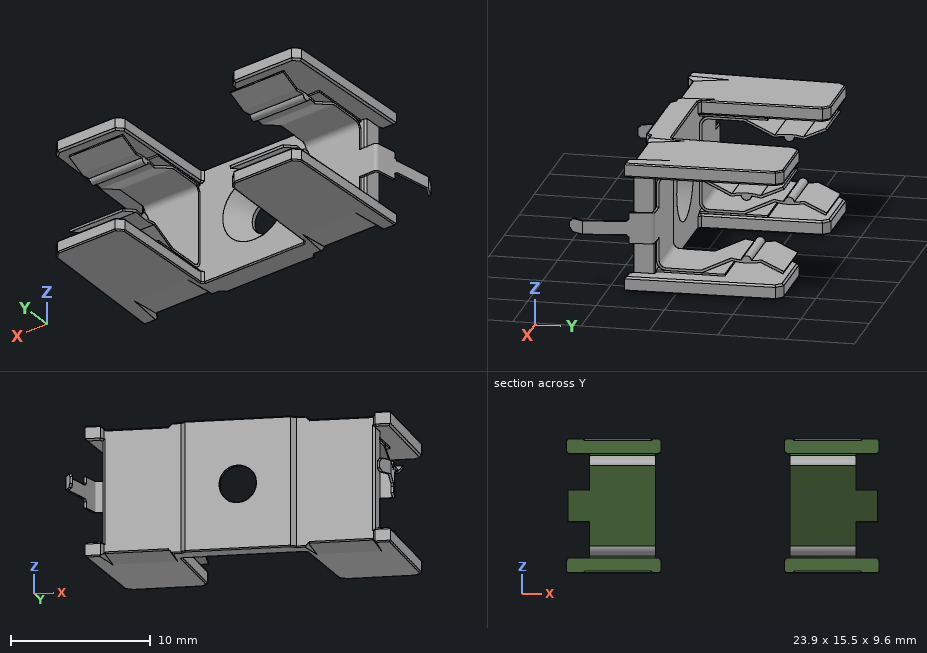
import cadquery as cq
import math

housing_height = 9.6
housing_depth = 11.5
arm_thickness = 1.08
arm_outer_front = 11.25
arm_outer_back = 10.93
arm_inner_front = 4.6
arm_inner_back = 4.8
arm_corner = 0.5
gap_corner = 0.2
outer_bevel = 0.1
inner_bevel = 0.15

wall_half_width = 10.02
wall_back = 1.99
front_step = 0.35
step_half_width = 4.23
foot_inner = 10.1
foot_slope = 0.2
wall_edge_width = 0.2
wall_edge_depth = 0.1
hole_diameter = 2.73
hole_straight = 0.35
hole_flare = 41

ramp_length = 3.01
ramp_depth = 0.3
ramp_inner = 5.12
ramp_outer = 9.88
ramp_draft = 45

pad_thickness = 0.15
pad_back = 6.98

sheet = 0.2
clip_inner = 4.8
clip_outer = 9.55
clip_bend_radius = 0.72
leaf_flat_end = 5.29
crest_front = 7.5
crest_back = 9.62
crest_height = 2.32
crest_sag = 0.12
leaf_tip_y = 11.25
leaf_tip_height = 3.05
rib_radius = 0.38
rib_height = 2.46
leaf_bend_radius = 0.48
crest_radius = 0.2

tab_half_height = 1.15
tab_front = 0.35
tab_gusset = 0.2
tab_bend_outside = 0.29
tab_bend_inside = 0.1
pin_half_height = 0.5
pin_root_x = 11.07
pin_knee_x = 11.95
pin_knee_y = -2.9
pin_tip_x = 11.39
pin_tip_y = -4.0
pin_corner = 0.29

top = housing_height / 2
arm_inside = top - arm_thickness
clip_seat = arm_inside - pad_thickness
clip_width = clip_outer - clip_inner
clip_middle = (clip_inner + clip_outer) / 2
ramp_width = ramp_outer - ramp_inner
ramp_middle = (ramp_inner + ramp_outer) / 2
plate_back = wall_back + sheet


def nearest(x, y, z):
    """Select the edge whose middle is closest to a point."""
    return cq.selectors.NearestToPointSelector((x, y, z))


def mirrored_x(points):
    """Right half of an outline from its left half."""
    return [(-x, y) for x, y in reversed(points)]


def offset_path(points, distance):
    """Open path moved sideways to its left by a distance, with mitred corners."""
    directions = [math.atan2(b[1] - a[1], b[0] - a[0]) for a, b in zip(points, points[1:])]
    before = [directions[0]] + directions
    after = directions + [directions[-1]]
    moved = []
    for (u, v), first, second in zip(points, before, after):
        normal = (first + second) / 2 + math.pi / 2
        reach = distance / math.cos((second - first) / 2)
        moved.append((u + reach * math.cos(normal), v + reach * math.sin(normal)))
    return moved


def arm_plate():
    """Upper plate: two tapered arms joined along the front."""
    outer_taper = (arm_outer_front - arm_outer_back) / housing_depth
    inner_taper = (arm_inner_back - arm_inner_front) / (housing_depth - wall_back)
    left_half = [
        (-arm_inner_front + gap_corner, wall_back),
        (-arm_inner_front - gap_corner * inner_taper, wall_back + gap_corner),
        (-arm_inner_back + arm_corner * inner_taper, housing_depth - arm_corner),
        (-arm_inner_back - arm_corner, housing_depth),
        (-arm_outer_back + arm_corner, housing_depth),
        (-arm_outer_back - arm_corner * outer_taper, housing_depth - arm_corner),
        (-arm_outer_front, 0),
        (-foot_inner, 0),
        (-foot_inner + foot_slope, front_step),
        (-step_half_width, front_step),
        (-step_half_width + front_step, 0),
    ]
    plate = cq.Workplane("XY").workplane(offset=arm_inside)
    plate = plate.polyline(left_half + mirrored_x(left_half)).close().extrude(arm_thickness)
    plate = plate.faces(">Z").chamfer(outer_bevel)
    return plate.faces("<Z").chamfer(inner_bevel)


def front_wall():
    """Wall between the plates, with its raised centre and bevelled outer edges."""
    left_half = [
        (-wall_half_width + wall_edge_width, wall_back),
        (-wall_half_width, wall_back - wall_edge_depth),
        (-wall_half_width, front_step + wall_edge_depth),
        (-wall_half_width + wall_edge_width, front_step),
        (-step_half_width, front_step),
        (-step_half_width + front_step, 0),
    ]
    wall = cq.Workplane("XY").polyline(left_half + mirrored_x(left_half)).close()
    return wall.extrude(arm_inside + inner_bevel, both=True)


def ramp_cut(side):
    """Shallow wedge that sinks into the top towards the front, with drafted sides."""
    slope = math.atan2(ramp_depth, ramp_length)
    floor_length = math.hypot(ramp_length, ramp_depth)
    upright = (0, -math.sin(slope), math.cos(slope))
    floor = cq.Plane((side * ramp_middle, ramp_length, top), (1, 0, 0), upright)
    cut = cq.Workplane(floor).center(0, -floor_length / 2).rect(ramp_width, floor_length)
    return cut.extrude(2 * ramp_depth, taper=-ramp_draft)


def flared_hole():
    """Cut through the wall: straight at the front, then widening to the back."""
    radius = hole_diameter / 2
    flare_depth = wall_back - hole_straight
    back_radius = radius + flare_depth * math.tan(math.radians(hole_flare))
    outline = [(0, 0), (radius, 0), (radius, hole_straight), (back_radius, wall_back), (0, wall_back)]
    return cq.Workplane("XY").polyline(outline).close().revolve(360, (0, 0, 0), (0, 1, 0))


def make_housing():
    """Two arm plates joined by the front wall."""
    upper = arm_plate()
    ramp_front = top - ramp_depth * (ramp_length - front_step) / ramp_length
    for side in (-1, 1):
        upper = upper.cut(ramp_cut(side))
        upper = upper.edges(nearest(side * ramp_middle, front_step, ramp_front)).chamfer(outer_bevel)
    body = front_wall().union(upper).union(upper.mirror("XY"))
    return body.cut(flared_hole())


def fillet_edge(body, place, radius):
    """Round the crosswise edge of the left clip at a (y, z) place."""
    return body.edges(nearest(-clip_middle, *place)).fillet(radius)


def contact_rib(middle):
    """Half-round rib that runs across the leaf between its crests."""
    half_round = (
        cq.Workplane("YZ")
        .moveTo(middle - rib_radius, rib_height)
        .threePointArc((middle, rib_height - rib_radius), (middle + rib_radius, rib_height))
        .close()
    )
    return half_round.extrude(clip_width).translate((-clip_outer, 0, 0))


def upper_leaf():
    """Upper half of the left clip: plate, flat, and a leaf with a hollow crest and its rib."""
    outer = [
        (wall_back, 0),
        (wall_back, clip_seat),
        (leaf_flat_end, clip_seat),
        (crest_front, crest_height + sheet),
        (crest_back, crest_height + sheet),
        (leaf_tip_y, leaf_tip_height + sheet),
    ]
    inner = offset_path(outer, -sheet)
    middle = (crest_front + crest_back) / 2
    profile = (
        cq.Workplane("YZ")
        .polyline(outer[:4])
        .threePointArc((middle, outer[3][1] + crest_sag), outer[4])
        .lineTo(*outer[5])
        .lineTo(*inner[5])
        .lineTo(*inner[4])
        .threePointArc((middle, inner[3][1] + crest_sag), inner[3])
        .lineTo(*inner[2])
        .lineTo(*inner[1])
        .lineTo(*inner[0])
        .close()
    )
    leaf = profile.extrude(clip_width).translate((-clip_outer, 0, 0))
    leaf = fillet_edge(leaf, (wall_back, clip_seat), clip_bend_radius)
    leaf = fillet_edge(leaf, inner[1], clip_bend_radius - sheet)
    leaf = fillet_edge(leaf, inner[2], leaf_bend_radius)
    leaf = fillet_edge(leaf, inner[3], crest_radius)
    leaf = fillet_edge(leaf, inner[4], crest_radius)
    return leaf.union(contact_rib(middle))


def solder_pin():
    """Left tab bent forward from the plate, narrowing to a pin with a bent tip."""
    outer = [
        (-clip_outer, plate_back),
        (-pin_root_x, plate_back),
        (-pin_knee_x, pin_knee_y),
        (-pin_tip_x, pin_tip_y),
    ]
    inner = offset_path(outer, sheet)
    strip = cq.Workplane("XY").polyline(outer + inner[::-1]).close().extrude(tab_half_height, both=True)
    strip = strip.edges(nearest(*outer[1], 0)).fillet(tab_bend_outside)
    strip = strip.edges(nearest(*inner[1], 0)).fillet(tab_bend_inside)

    upper_side = [
        (plate_back, tab_half_height),
        (tab_front, tab_half_height),
        (tab_front, pin_half_height + tab_gusset),
        (tab_front - tab_gusset, pin_half_height),
        (pin_tip_y + pin_corner, pin_half_height),
        (pin_tip_y, pin_half_height - pin_corner),
    ]
    lower_side = [(y, -z) for y, z in reversed(upper_side)]
    side_shape = cq.Workplane("YZ").polyline(upper_side + lower_side).close().extrude(-pin_knee_x)
    return strip.intersect(side_shape)


def make_clip(side):
    """Spring clip on one side: two leaves, their shared plate and a solder pin."""
    leaf = upper_leaf()
    clip = leaf.union(leaf.mirror("XY")).union(solder_pin())
    return clip if side < 0 else clip.mirror("YZ")


def make_pad(side, level):
    """Thin seat between one arm and the flat of a clip."""
    height = level * (clip_seat + pad_thickness / 2)
    middle = (side * clip_middle, (wall_back + pad_back) / 2, height)
    return cq.Workplane("XY").box(clip_width, pad_back - wall_back, pad_thickness).translate(middle)


housing = make_housing()
clips = [make_clip(side) for side in (-1, 1)]
pads = [make_pad(side, level) for side in (-1, 1) for level in (-1, 1)]

result = cq.Compound.makeCompound([body.val() for body in [housing, *clips, *pads]])